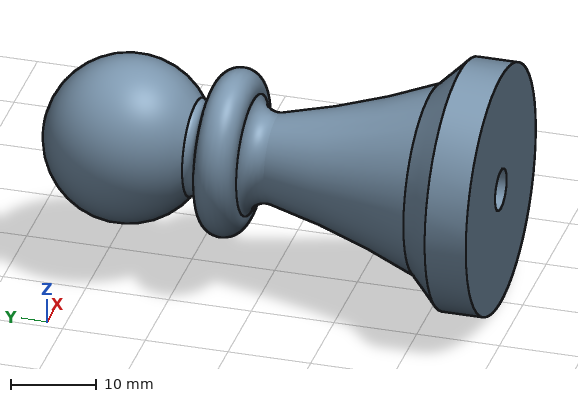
import cadquery as cq
import math

height = 54.7
base_radius = 30.0 / 2
base_thickness = 5.0
chamfer_top_radius = 11.6
body_foot_radius = 11.45
lip_height = 0.15
body_top_radius = 5.4
body_top_y = 27.1
body_mid_radius = 7.95
collar_y = 32.5
collar_radius = 10.0
collar_edge_radius = 2.5
cove_mid_radius = 5.85
cove_mid_y = 29.05
cove_end_radius = 7.2
head_radius = 10.0
head_y = 45.0
head_neck_radius = 5.85
upper_neck_waist_radius = 5.7
upper_neck_waist_y = 36.35
upper_neck_foot_radius = 6.2
upper_neck_foot_y = 35.5
hole_radius = 5.0 / 2
hole_depth = 10.0

chamfer_top_y = base_thickness + base_radius - chamfer_top_radius
body_foot_y = chamfer_top_y + lip_height
body_mid_y = (body_foot_y + body_top_y) / 2
collar_core_radius = collar_radius - collar_edge_radius
collar_bottom_y = collar_y - collar_edge_radius
collar_top_y = collar_y + collar_edge_radius
head_bottom_y = head_y - math.sqrt(head_radius**2 - head_neck_radius**2)
crown_radius = math.sqrt(head_radius**2 - (height - head_y) ** 2)


def make_pawn_body():
    """Revolve the half outline, drawn as (radius, y), about the Y axis."""
    outline = (
        cq.Workplane("XY")
        .lineTo(base_radius, 0)
        .lineTo(base_radius, base_thickness)
        .lineTo(chamfer_top_radius, chamfer_top_y)
        .lineTo(body_foot_radius, body_foot_y)
        .threePointArc((body_mid_radius, body_mid_y), (body_top_radius, body_top_y))
        .threePointArc((cove_mid_radius, cove_mid_y), (cove_end_radius, collar_bottom_y))
        .lineTo(collar_core_radius, collar_bottom_y)
        .threePointArc((collar_radius, collar_y), (collar_core_radius, collar_top_y))
        .lineTo(upper_neck_foot_radius, upper_neck_foot_y)
        .threePointArc(
            (upper_neck_waist_radius, upper_neck_waist_y),
            (head_neck_radius, head_bottom_y),
        )
        .threePointArc((head_radius, head_y), (crown_radius, height))
        .lineTo(0, height)
        .close()
    )
    return outline.revolve(360, (0, 0, 0), (0, 1, 0))


def make_base_hole():
    """Blind round hole entering the underside of the base."""
    return cq.Workplane("XZ").circle(hole_radius).extrude(-hole_depth)


result = make_pawn_body().cut(make_base_hole())